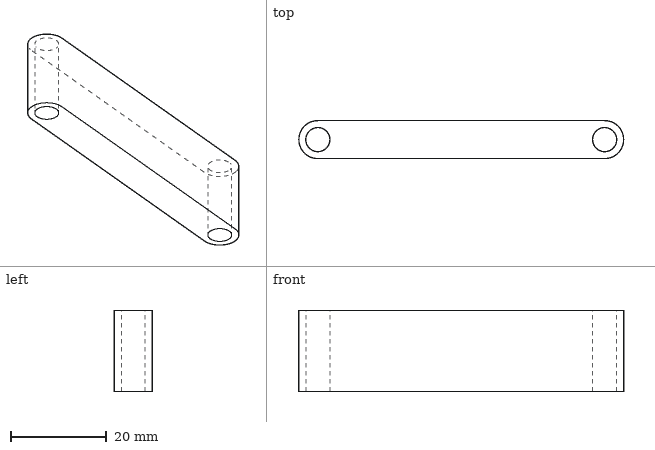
import cadquery as cq

hole_spacing = 60.0
width = 8.0
height = 17.0
hole_diameter = 5.0

overall_length = hole_spacing + width


def make_bar():
    """Straight bar with fully rounded ends, centred on the origin."""
    return cq.Workplane("XY").slot2D(overall_length, width).extrude(height / 2, both=True)


def drill_end_holes(bar):
    """Vertical through hole on the axis of each rounded end."""
    hole_centers = [(side * hole_spacing / 2, 0) for side in (-1, 1)]
    return bar.faces(">Z").workplane(origin=(0, 0, 0)).pushPoints(hole_centers).hole(hole_diameter)


result = drill_end_holes(make_bar())